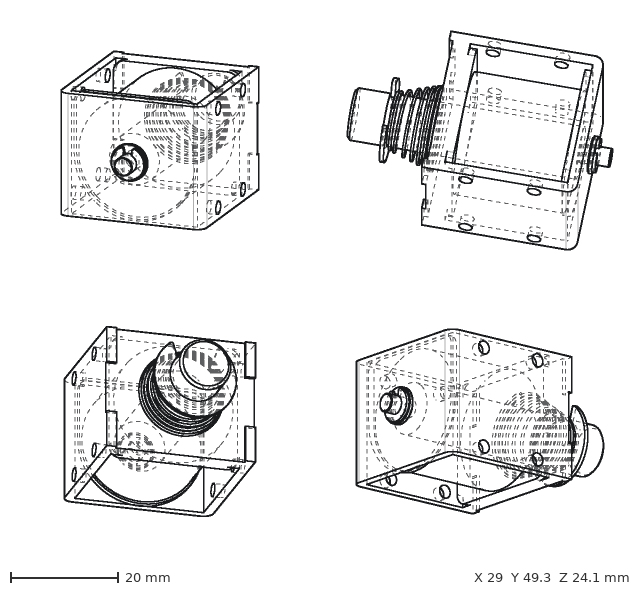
import cadquery as cq
import math


frame_width = 29.0
frame_height = 23.9
frame_length = 29.3
wall = 1.9
plate_rear = 28.55
plate_front = 25.25
ear_notch_height = 9.95
mount_hole_diameter = 2.5
mount_hole_y = (7.95, 20.95)
mount_hole_z = 9.65
inner_width = frame_width - 2 * wall

coil_radius = 11.65
front_flange_size = 24.1
front_flange_thickness = 1.25
rear_flange_thickness = 1.35
front_flange_corner = 2.1
rear_flange_corner = 2.25
coil_front = wall + front_flange_thickness
coil_rear = plate_front - rear_flange_thickness

boss_radius = 3.15
boss_height = 0.25

plunger_radius = 5.0
plunger_rear = 45.35
plunger_chamfer = 0.55
pin_radius = 1.77
pin_length = 3.95
pin_chamfer = 0.15
washer_radius = 3.55
washer_thickness = 0.7

pin_clip_radius = 3.25
pin_clip_thickness = 0.6
pin_clip_opening = 0.7
pin_clip_mouth = 1.0
pin_clip_round = 0.4
plunger_clip_radius = 8.0
plunger_clip_thickness = 0.8
plunger_clip_front = 37.8
plunger_clip_opening = 3.35
plunger_clip_mouth = 4.95
plunger_clip_round = 0.35
groove_radius = 4.5
groove_width = 0.95

wire_radius = 0.25
spring_base_radius = 8.1
spring_tip_radius = plunger_radius + wire_radius + 0.05
spring_turns = 8
closed_turns = 1.5
closed_pitch = 0.6
first_pitch = 0.41
points_per_turn = 12


def cylinder(radius, y_start, y_end):
    """Cylinder on the plunger axis between two Y positions."""
    return cq.Workplane("XZ", origin=(0, y_start, 0)).circle(radius).extrude(y_start - y_end)


def block(width, y_start, y_end, height):
    """Box centred on the plunger axis between two Y positions."""
    length = y_end - y_start
    return cq.Workplane("XY").box(width, length, height).translate((0, y_start + length / 2, 0))


def make_frame():
    outside = block(frame_width, 0, frame_length, frame_height)
    outside = outside.edges("|Z and <Y").fillet(wall)
    frame = outside.cut(block(inner_width, wall, plate_front, frame_height))
    frame = frame.cut(block(inner_width, plate_rear, frame_length, frame_height))
    frame = frame.cut(block(frame_width, plate_rear, frame_length, ear_notch_height))
    for y in mount_hole_y:
        for z in (-mount_hole_z, mount_hole_z):
            hole = cq.Workplane("YZ").center(y, z).circle(mount_hole_diameter / 2)
            frame = frame.cut(hole.extrude(frame_width / 2, both=True))
    return frame


def make_front_flange():
    """Flange with a rounded-corner upper half and a semicircular lower half."""
    half_size = front_flange_size / 2
    upper_half = block(front_flange_size, wall, coil_front, half_size).translate((0, 0, half_size / 2))
    upper_half = upper_half.edges("|Y and >Z").fillet(front_flange_corner)
    return upper_half.union(cylinder(half_size, wall, coil_front))


def make_rear_flange():
    return block(inner_width, coil_rear, plate_front, frame_height).edges("|Y").fillet(rear_flange_corner)


def make_housing():
    coil = cylinder(coil_radius, coil_front, coil_rear)
    housing = make_frame().union(coil).union(make_front_flange()).union(make_rear_flange())
    housing = housing.union(cylinder(boss_radius, -boss_height, 0))
    housing = housing.cut(cylinder(plunger_radius, wall, plate_rear))
    return housing.cut(cylinder(pin_radius, -boss_height, wall))


def make_clip(radius, y_front, thickness, seat_radius, opening, mouth, tip_round):
    """Disc with a flared opening toward +Z, from the shaft it sits on out to its rim."""
    disc = cylinder(radius, y_front, y_front + thickness)
    seat_z = math.sqrt(seat_radius**2 - opening**2)
    slot = (
        cq.Workplane("XZ", origin=(0, y_front, 0))
        .polyline([(0, 0), (opening, seat_z), (mouth, radius), (-mouth, radius), (-opening, seat_z)])
        .close()
        .extrude(-thickness)
    )
    return disc.cut(slot).edges("|Y and >Z").fillet(tip_round)


def make_plunger():
    body = cylinder(plunger_radius, wall, plunger_rear).faces(">Y").chamfer(plunger_chamfer)
    groove_end = plunger_clip_front + groove_width
    groove = cylinder(plunger_radius, plunger_clip_front, groove_end)
    groove = groove.cut(cylinder(groove_radius, plunger_clip_front, groove_end))
    pin = cylinder(pin_radius, -pin_length, wall).faces("<Y").chamfer(pin_chamfer)
    washer_front = -boss_height - washer_thickness
    washer = cylinder(washer_radius, washer_front, -boss_height)
    pin_clip = make_clip(
        pin_clip_radius, washer_front - pin_clip_thickness, pin_clip_thickness,
        pin_radius, pin_clip_opening, pin_clip_mouth, pin_clip_round,
    )
    plunger_clip = make_clip(
        plunger_clip_radius, plunger_clip_front, plunger_clip_thickness,
        groove_radius, plunger_clip_opening, plunger_clip_mouth, plunger_clip_round,
    )
    return body.cut(groove).union(pin).union(washer).union(pin_clip).union(plunger_clip)


spring_start = plate_rear + wire_radius
spring_end = plunger_clip_front - wire_radius
open_turns = spring_turns - closed_turns
open_rise = spring_end - spring_start - closed_turns * closed_pitch
pitch_growth = (open_rise - first_pitch * open_turns) / open_turns**2


def spring_height(turn):
    """Y of the wire: the pitch grows steadily, then the last turns are wound close."""
    if turn < open_turns:
        return spring_start + first_pitch * turn + pitch_growth * turn**2
    return spring_end - closed_pitch * (spring_turns - turn)


def spring_point(turn):
    y = spring_height(turn)
    taper = (y - spring_start) / (spring_end - spring_start)
    radius = spring_base_radius + taper * (spring_tip_radius - spring_base_radius)
    angle = math.pi / 2 + 2 * math.pi * turn
    return cq.Vector(radius * math.cos(angle), y, radius * math.sin(angle))


def make_spring():
    steps = spring_turns * points_per_turn
    center_line = cq.Edge.makeSpline([spring_point(i / points_per_turn) for i in range(steps + 1)])
    start_plane = cq.Plane(origin=center_line.startPoint(), normal=center_line.tangentAt(0))
    wire_section = cq.Workplane(start_plane).circle(wire_radius)
    return wire_section.sweep(cq.Workplane(center_line), isFrenet=True)


housing = make_housing()
plunger = make_plunger()
spring = make_spring()

result = cq.Compound.makeCompound([housing.solids().val(), plunger.solids().val(), spring.val()])